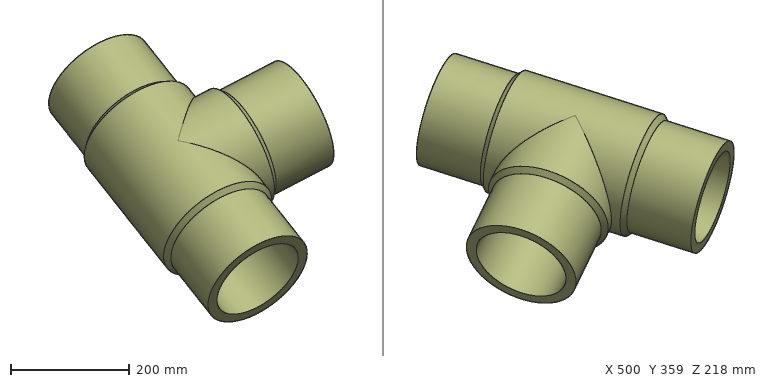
import cadquery as cq

run_length = 500.0
end_reach = run_length / 2
pipe_diameter = 200.0
body_diameter = 218.0
bore_diameter = 163.5

body_reach = 133.5
cone_length = (body_diameter - pipe_diameter) / 2


def cylinder(plane, diameter, length):
    """Cylinder from the tee centre along the plane normal."""
    return cq.Workplane(plane).circle(diameter / 2).extrude(length)


def outer_arm(plane):
    """Solid arm from the tee centre: thick body, cone, then pipe end."""
    outer_end = cq.selectors.DirectionMinMaxSelector(plane.zDir)
    body = cylinder(plane, body_diameter, body_reach).faces(outer_end).chamfer(cone_length)
    return body.union(cylinder(plane, pipe_diameter, end_reach))


centre = (0, 0, 0)
z_axis = (0, 0, 1)
arm_directions = [(-1, 0, 0), (1, 0, 0), (0, 1, 0)]
arm_planes = [cq.Plane(centre, xDir=z_axis, normal=direction) for direction in arm_directions]

result = cq.Workplane()
for arm_plane in arm_planes:
    result = result.union(outer_arm(arm_plane))
for arm_plane in arm_planes:
    result = result.cut(cylinder(arm_plane, bore_diameter, end_reach))